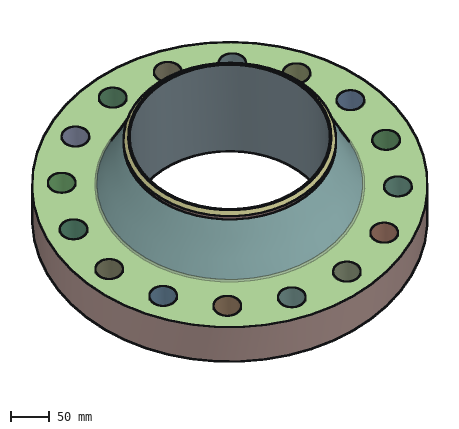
import cadquery as cq
import math

total_height = 160.5
face_height = 8.0
flange_thickness = 64.0
flange_top = face_height + flange_thickness

flange_diameter = 508.0
face_diameter = 356.5
bore_diameter = 257.0

hub_base_diameter = 343.0
neck_diameter = 273.0
neck_length = 6.0
hub_fillet_radius = 3.0

bevel_angle = 37.5
land_width = 2.0

bolt_count = 16
bolt_circle_diameter = 431.5
bolt_hole_diameter = 35.5


def make_flange():
    """Flange disc standing on its raised gasket face."""
    face = cq.Workplane("XY").circle(face_diameter / 2).extrude(face_height)
    disc = (
        cq.Workplane("XY")
        .workplane(offset=face_height)
        .circle(flange_diameter / 2)
        .extrude(flange_thickness)
    )
    return face.union(disc)


def make_hub():
    """Tapered hub ending in a short straight neck with a weld bevel."""
    neck_radius = neck_diameter / 2
    land_radius = bore_diameter / 2 + land_width
    bevel_height = (neck_radius - land_radius) * math.tan(math.radians(bevel_angle))
    bevel_bottom = total_height - bevel_height
    profile = [
        (0, flange_top),
        (hub_base_diameter / 2, flange_top),
        (neck_radius, bevel_bottom - neck_length),
        (neck_radius, bevel_bottom),
        (land_radius, total_height),
        (0, total_height),
    ]
    return cq.Workplane("XZ").polyline(profile).close().revolve(360, (0, 0), (0, 1))


def round_hub_base(solid):
    """Fillet the corner where the hub meets the flange."""
    margin = 0.5
    reach = hub_base_diameter / 2 + margin
    corner = cq.selectors.BoxSelector(
        (-reach, -reach, flange_top - margin),
        (reach, reach, flange_top + margin),
        boundingbox=True,
    )
    return solid.edges(corner).fillet(hub_fillet_radius)


def make_bore():
    """Central bore through the full height."""
    return cq.Workplane("XY").circle(bore_diameter / 2).extrude(total_height)


def make_bolt_holes():
    """Ring of through holes, with one hole on the +X axis."""
    return (
        cq.Workplane("XY")
        .polarArray(bolt_circle_diameter / 2, 0, 360, bolt_count)
        .circle(bolt_hole_diameter / 2)
        .extrude(flange_top)
    )


body = round_hub_base(make_flange().union(make_hub()))
result = body.cut(make_bore()).cut(make_bolt_holes())